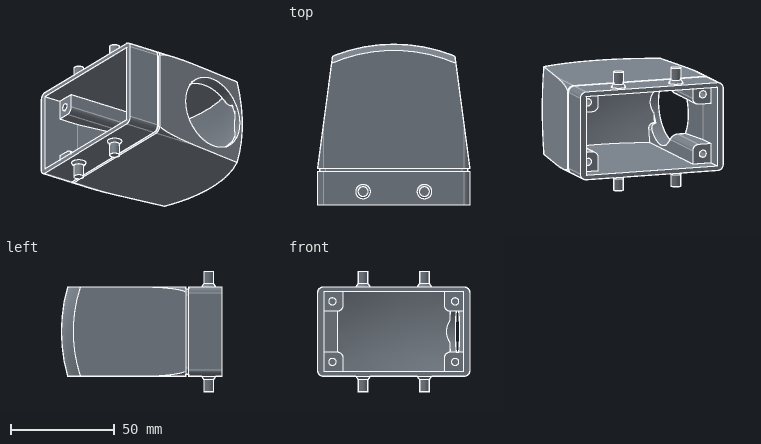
import cadquery as cq


width = 73.5
height = 43.1
length = 77.55
corner_radius = 2.95
dome_radius = 78.3
side_slope = 0.133

groove_start = 16.2
groove_end = 17.5
groove_depth = 1.0

side_wall = 3.1
flat_wall = 2.25
dome_wall = 3.1
cavity_width = width - 2 * side_wall
cavity_height = height - 2 * flat_wall
cavity_length = length - dome_wall
cavity_taper_start = 19.4

post_width = 9.3
post_height = 9.45
post_radius = 2.95
post_start = 8.85
screw_diameter = 3.5
screw_depth = 9.3
screw_x = 29.55
screw_z = 14.6

entry_diameter = 35.5
entry_y = 52.3

pin_diameter = 4.7
collar_diameter = 7.0
collar_height = 1.6
pin_span = 58.0
pin_length = (pin_span - height) / 2
pin_x = screw_x / 2
pin_y = 6.5


def block(size_x, size_z, y_start, y_end):
    """Box centred on the Y axis between two Y positions."""
    box = cq.Workplane("XY").box(size_x, y_end - y_start, size_z, centered=(True, False, True))
    return box.translate((0, y_start, 0))


def tapered_dome(base_width, thickness, taper_start, y_end, end_radius):
    """Slab with straight sides up to the taper start, then tapered sides, closed by a spherical end."""
    half = base_width / 2
    end_half = half - side_slope * (y_end - taper_start)
    slab = (
        cq.Workplane("XY")
        .workplane(offset=-thickness / 2)
        .moveTo(-half, 0)
        .lineTo(half, 0)
        .lineTo(half, taper_start)
        .lineTo(end_half, y_end)
        .lineTo(-end_half, y_end)
        .lineTo(-half, taper_start)
        .close()
        .extrude(thickness)
    )
    ball = cq.Workplane("XY").sphere(end_radius).translate((0, y_end - end_radius, 0))
    return slab.intersect(ball)


def make_outer_form():
    rounded = block(width, height, 0, length).edges("|Y").fillet(corner_radius)
    return rounded.intersect(tapered_dome(width, height, groove_end, length, dome_radius))


def make_groove():
    ring = block(width, height, groove_start, groove_end)
    core = block(width - 2 * groove_depth, height - 2 * groove_depth, groove_start, groove_end)
    return ring.cut(core.edges("|Y").fillet(corner_radius))


def make_posts():
    """Material of the four posts: full corner blocks, rounded on the edge facing the centre."""
    post = (
        cq.Workplane("XY")
        .box(post_width, length - post_start, post_height, centered=False)
        .edges("|Y and <X and <Z")
        .fillet(post_radius)
        .translate((cavity_width / 2 - post_width, post_start, cavity_height / 2 - post_height))
    )
    upper = post.add(post.mirror("YZ")).combine()
    return upper.add(upper.mirror("XY")).combine()


def make_screw_holes():
    return (
        cq.Workplane("XZ", origin=(0, post_start, 0))
        .rect(2 * screw_x, 2 * screw_z, forConstruction=True)
        .vertices()
        .circle(screw_diameter / 2)
        .extrude(-screw_depth)
    )


def make_cable_entry():
    """Round bore along +X, from the middle of the cavity out through the side wall."""
    return cq.Workplane("YZ").center(entry_y, 0).circle(entry_diameter / 2).extrude(width / 2)


def make_hood():
    cavity = tapered_dome(
        cavity_width, cavity_height, cavity_taper_start, cavity_length, dome_radius - dome_wall
    )
    hood = make_outer_form().cut(make_groove())
    hood = hood.cut(cavity.cut(make_posts()))
    return hood.cut(make_cable_entry()).cut(make_screw_holes())


def make_pin(x, side):
    """Pin with a conical collar standing on the +Z (side = 1) or -Z (side = -1) face."""
    pin = (
        cq.Workplane("XZ")
        .moveTo(0, 0)
        .lineTo(collar_diameter / 2, 0)
        .lineTo(pin_diameter / 2, collar_height)
        .lineTo(pin_diameter / 2, pin_length)
        .lineTo(0, pin_length)
        .close()
        .revolve(360, (0, 0, 0), (0, 1, 0))
        .translate((x, pin_y, height / 2))
    )
    return pin if side > 0 else pin.mirror("XY")


hood = make_hood()
pins = [make_pin(x, side) for x in (-pin_x, pin_x) for side in (1, -1)]

result = cq.Compound.makeCompound([hood.val(), *[pin.val() for pin in pins]])